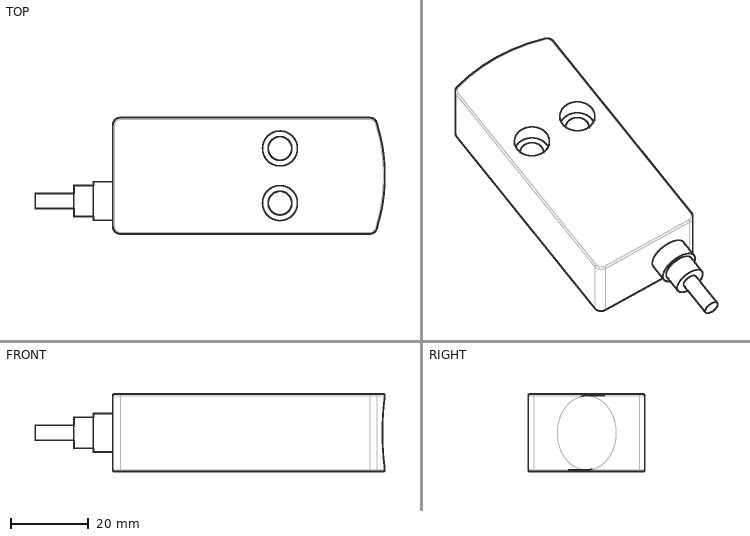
import cadquery as cq

length = 90.0
width = 30.0
height = 20.0
body_start = 20.0

corner_radius = 2.0
edge_radius = 0.45
nose_radius = 45.9
hollow_depth = 0.6

hole_x = 63.0
hole_spacing = 14.0
hole_diameter = 6.0
counterbore_diameter = 9.0
counterbore_depth = 5.0

cable_y = -6.5
cable_steps = [
    (0.0, 4.0),
    (10.0, 8.0),
    (15.0, 10.0),
]


def make_housing():
    """Block with a bowed +X end, rounded corners and softened rims."""
    half_width = width / 2
    nose_sag = nose_radius - (nose_radius**2 - half_width**2) ** 0.5
    shoulder_x = length - nose_sag
    block = (
        cq.Workplane("XY", origin=(0, 0, -height / 2))
        .moveTo(body_start, -half_width)
        .lineTo(shoulder_x, -half_width)
        .threePointArc((length, 0), (shoulder_x, half_width))
        .lineTo(body_start, half_width)
        .close()
        .extrude(height)
    )
    block = block.edges("|Z").fillet(corner_radius)
    return block.faces("<Z or >Z").edges().fillet(edge_radius)


def make_nose_hollow():
    """Cylinder along Y that hollows the nose between its rounded rims."""
    half_chord = height / 2 - edge_radius
    radius = (half_chord**2 + hollow_depth**2) / (2 * hollow_depth)
    center_x = length - hollow_depth + radius
    return (
        cq.Workplane("XZ", origin=(center_x, 0, 0))
        .circle(radius)
        .extrude(width / 2, both=True)
    )


def drill_mounting_holes(housing):
    """Two counterbored holes through the height, opening upward."""
    return (
        housing.copyWorkplane(cq.Workplane("XY", origin=(hole_x, 0, height / 2)))
        .pushPoints([(0, -hole_spacing / 2), (0, hole_spacing / 2)])
        .cboreHole(hole_diameter, counterbore_diameter, counterbore_depth)
    )


def make_cable():
    """Coaxial cylinders that step up in diameter toward the housing."""
    cable = cq.Workplane("YZ")
    ends = [start for start, _ in cable_steps[1:]] + [body_start]
    for (start, diameter), end in zip(cable_steps, ends):
        step = (
            cq.Workplane("YZ", origin=(start, cable_y, 0))
            .circle(diameter / 2)
            .extrude(end - start)
        )
        cable = cable.add(step)
    return cable.combine()


housing = make_housing().cut(make_nose_hollow())
result = drill_mounting_holes(housing).union(make_cable())